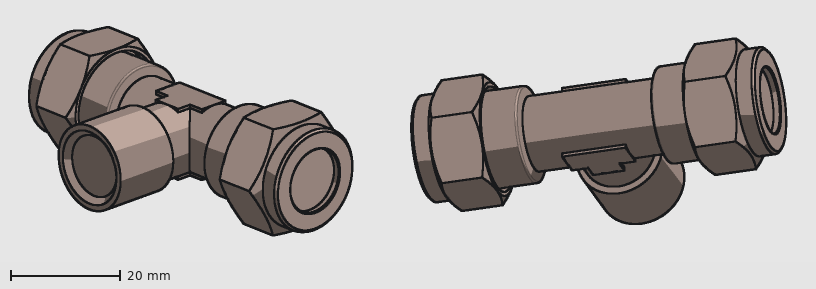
import cadquery as cq
import math

RUN_HALF_LENGTH = 33.0
BRANCH_LENGTH = 25.5
TUBE_DIAMETER = 14.0

STEP_FACE_ANGLE = 15.0

SHOULDER_DIAMETER = 18.0
SHOULDER_START = 12.4
SHOULDER_EDGE_RADIUS = 0.4

NUT_ACROSS_FLATS = 21.0
NUT_HEX_LENGTH = 10.0
NUT_COLLAR_DIAMETER = 19.8
NUT_COLLAR_LENGTH = 3.5
NUT_COLLAR_CHAMFER = 0.5
NUT_BEVEL_ANGLE = 30.0
NUT_BORE_DIAMETER = 19.5
NUT_BORE_DEPTH = 2.0

RECESS_DIAMETER = 12.2
RECESS_DEPTH = 1.4
RECESS_CHAMFER = 0.2

BRANCH_END_DIAMETER = 16.5
BRANCH_END_START = 11.9
MOUTH_DIAMETER = 14.2
MOUTH_FLOOR_DIAMETER = 11.8

PAD_LENGTH = 12.2
PAD_WIDTH = 6.0
PAD_STEM_REACH = 6.0

MOUTH_DEPTH = (MOUTH_DIAMETER - MOUTH_FLOOR_DIAMETER) / 2
STEP_FACE_SLOPE = math.tan(math.radians(STEP_FACE_ANGLE))
NUT_HEX_END = RUN_HALF_LENGTH - NUT_COLLAR_LENGTH
NUT_HEX_START = NUT_HEX_END - NUT_HEX_LENGTH
NUT_ACROSS_CORNERS = NUT_ACROSS_FLATS / math.cos(math.pi / 6)


def revolved_about_x(profile):
    """Revolve a closed (x, radius) profile about the X axis."""
    return cq.Workplane("XY").polyline(profile).close().revolve(360, (0, 0, 0), (1, 0, 0))


def nut_hexagon():
    """Hexagon with corners on +/-Y, bevelled by a cone at each end and bored on its inner face."""
    hexagon = (
        cq.Workplane("YZ")
        .workplane(offset=NUT_HEX_START)
        .polygon(6, NUT_ACROSS_CORNERS)
        .extrude(NUT_HEX_LENGTH)
    )
    corner_radius = NUT_ACROSS_CORNERS / 2
    inner_radius = NUT_ACROSS_FLATS / 2
    outer_radius = NUT_COLLAR_DIAMETER / 2
    bevel_slope = math.tan(math.radians(NUT_BEVEL_ANGLE))
    inner_bevel = (corner_radius - inner_radius) * bevel_slope
    outer_bevel = (corner_radius - outer_radius) * bevel_slope
    envelope = revolved_about_x(
        [
            (NUT_HEX_START, 0),
            (NUT_HEX_START, inner_radius),
            (NUT_HEX_START + inner_bevel, corner_radius),
            (NUT_HEX_END - outer_bevel, corner_radius),
            (NUT_HEX_END, outer_radius),
            (NUT_HEX_END, 0),
        ]
    )
    bore = (
        cq.Workplane("YZ")
        .workplane(offset=NUT_HEX_START)
        .circle(NUT_BORE_DIAMETER / 2)
        .extrude(NUT_BORE_DEPTH)
    )
    return hexagon.intersect(envelope).cut(bore)


def shoulder():
    """Shoulder with a slightly conical face, reaching the floor of the nut's bore."""
    tube_radius = TUBE_DIAMETER / 2
    shoulder_radius = SHOULDER_DIAMETER / 2
    shoulder_end = NUT_HEX_START + NUT_BORE_DEPTH
    rim_start = SHOULDER_START + (shoulder_radius - tube_radius) * STEP_FACE_SLOPE
    body = revolved_about_x(
        [
            (SHOULDER_START, 0),
            (SHOULDER_START, tube_radius),
            (rim_start, shoulder_radius),
            (shoulder_end, shoulder_radius),
            (shoulder_end, 0),
        ]
    )
    rim = cq.selectors.RadiusNthSelector(-1)
    return body.edges("%CIRCLE").edges(rim).edges("<X").fillet(SHOULDER_EDGE_RADIUS)


def run_end():
    """Shoulder, nut, collar and recess at the +X end of the run."""
    collar = (
        cq.Workplane("YZ")
        .workplane(offset=NUT_HEX_END)
        .circle(NUT_COLLAR_DIAMETER / 2)
        .extrude(NUT_COLLAR_LENGTH)
        .faces(">X")
        .chamfer(NUT_COLLAR_CHAMFER)
    )
    recess_floor = RUN_HALF_LENGTH - RECESS_DEPTH
    recess_radius = RECESS_DIAMETER / 2
    recess = revolved_about_x(
        [
            (recess_floor, 0),
            (recess_floor, recess_radius),
            (RUN_HALF_LENGTH - RECESS_CHAMFER, recess_radius),
            (RUN_HALF_LENGTH, recess_radius + RECESS_CHAMFER),
            (RUN_HALF_LENGTH, 0),
        ]
    )
    return shoulder().union(nut_hexagon()).union(collar).cut(recess)


def run_tube():
    """Plain cylinder joining the two shoulders."""
    return cq.Workplane("YZ").circle(TUBE_DIAMETER / 2).extrude(SHOULDER_START, both=True)


def branch():
    """Branch tube with its thicker end and conical mouth."""
    tube_radius = TUBE_DIAMETER / 2
    end_radius = BRANCH_END_DIAMETER / 2
    end_rim = BRANCH_END_START + (end_radius - tube_radius) * STEP_FACE_SLOPE
    profile = [
        (0, 0),
        (tube_radius, 0),
        (tube_radius, -BRANCH_END_START),
        (end_radius, -end_rim),
        (end_radius, -BRANCH_LENGTH),
        (MOUTH_DIAMETER / 2, -BRANCH_LENGTH),
        (MOUTH_FLOOR_DIAMETER / 2, MOUTH_DEPTH - BRANCH_LENGTH),
        (0, MOUTH_DEPTH - BRANCH_LENGTH),
    ]
    return cq.Workplane("XY").polyline(profile).close().revolve(360, (0, 0, 0), (0, 1, 0))


def pads():
    """T-shaped block whose top and bottom lie level with the tube's crown lines."""
    bar = cq.Workplane("XY").box(PAD_LENGTH, PAD_WIDTH, TUBE_DIAMETER)
    stem = (
        cq.Workplane("XY")
        .box(PAD_WIDTH, PAD_STEM_REACH, TUBE_DIAMETER)
        .translate((0, -PAD_STEM_REACH / 2, 0))
    )
    return bar.union(stem)


right_end = run_end()
left_end = right_end.mirror("YZ")
result = run_tube().union(branch()).union(pads()).union(right_end).union(left_end)